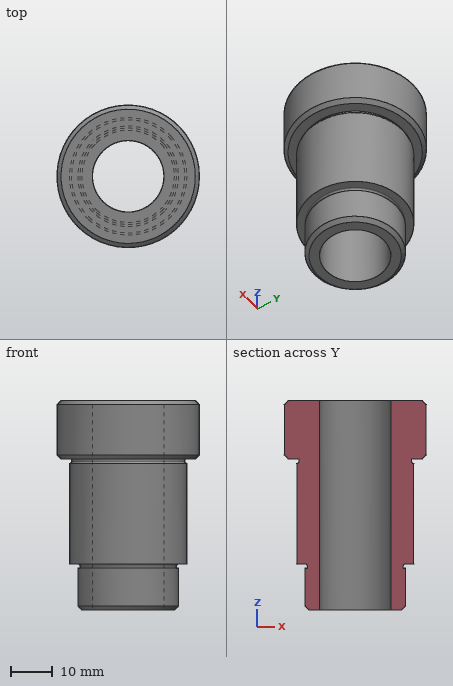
import cadquery as cq
import math

total_height = 50.0
head_height = 14.0
tip_height = 11.0

head_diameter = 34.0
body_diameter = 28.0
tip_diameter = 24.0
bore_diameter = 17.0

chamfer = 1.0
groove_width = 1.0
groove_depth = 0.5
groove_fillet = 0.5
groove_clearance = 0.5

head_bottom = total_height - head_height
body_height = head_bottom - tip_height


def cylinder(diameter, base, height):
    """Upright cylinder on the Z axis."""
    return cq.Workplane("XY").workplane(offset=base).circle(diameter / 2).extrude(height)


def relief_groove(diameter, fillet_end, plain_end):
    """Ring cut from a shank between two heights, its floor rounded into the wall at fillet_end."""
    outer = diameter / 2
    inner = outer - groove_depth
    toward_plain = math.copysign(1, plain_end - fillet_end)
    corner_offset = groove_fillet * (1 - math.sqrt(0.5))
    return (
        cq.Workplane("XZ")
        .moveTo(outer, plain_end)
        .lineTo(inner, plain_end)
        .lineTo(inner, fillet_end + toward_plain * groove_fillet)
        .threePointArc(
            (inner + corner_offset, fillet_end + toward_plain * corner_offset),
            (inner + groove_fillet, fillet_end),
        )
        .lineTo(outer + groove_clearance, fillet_end)
        .lineTo(outer + groove_clearance, plain_end)
        .close()
        .revolve(360, (0, 0, 0), (0, 1, 0))
    )


head = cylinder(head_diameter, head_bottom, head_height).faces("<Z or >Z").edges().chamfer(chamfer)
body = cylinder(body_diameter, tip_height, body_height)
tip = cylinder(tip_diameter, 0, tip_height).faces("<Z").edges().chamfer(chamfer)
bushing = head.union(body).union(tip)

bushing = bushing.cut(relief_groove(body_diameter, head_bottom - groove_width, head_bottom))
bushing = bushing.cut(relief_groove(tip_diameter, tip_height, tip_height - groove_width))

result = bushing.cut(cylinder(bore_diameter, 0, total_height))